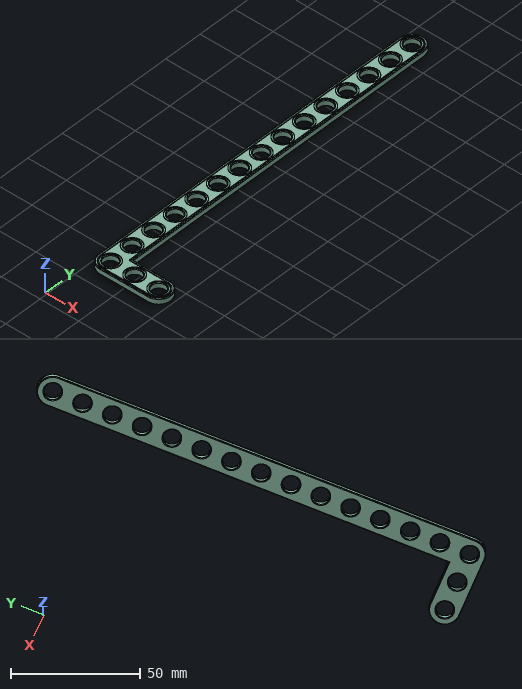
import cadquery as cq

thickness = 3.2
length = 187.5
long_arm_holes = 15
short_arm_holes = 3
hole_diameter = 7.0
collar_diameter = 9.2
rim_width = 1.1
recess_depth = 0.22
edge_chamfer = 0.34

pitch = length / long_arm_holes

long_arm_centers = [(0, i * pitch) for i in range(long_arm_holes)]
short_arm_centers = [(i * pitch, 0) for i in range(1, short_arm_holes)]
hole_centers = long_arm_centers + short_arm_centers


def arm(hole_count, width, height, angle):
    """Round-ended bar from the corner hole to the last hole of an arm."""
    span = (hole_count - 1) * pitch
    bar = cq.Workplane("XY").center(span / 2, 0).slot2D(span + width, width).extrude(height)
    return bar.rotate((0, 0, 0), (0, 0, 1), angle)


def angled_beam(width, height):
    """L-shaped bar made of the two arms."""
    return arm(long_arm_holes, width, height, 90).union(arm(short_arm_holes, width, height, 0))


def discs(diameter, height):
    """One upright cylinder on every hole center."""
    return cq.Workplane("XY").pushPoints(hole_centers).circle(diameter / 2).extrude(height)


beam = angled_beam(pitch, thickness).cut(discs(hole_diameter, thickness))
beam = beam.faces(">Z or <Z").edges().chamfer(edge_chamfer)

recess_width = pitch - 2 * rim_width
recess = angled_beam(recess_width, recess_depth).cut(discs(collar_diameter, recess_depth))

result = beam.cut(recess.translate((0, 0, thickness - recess_depth)))